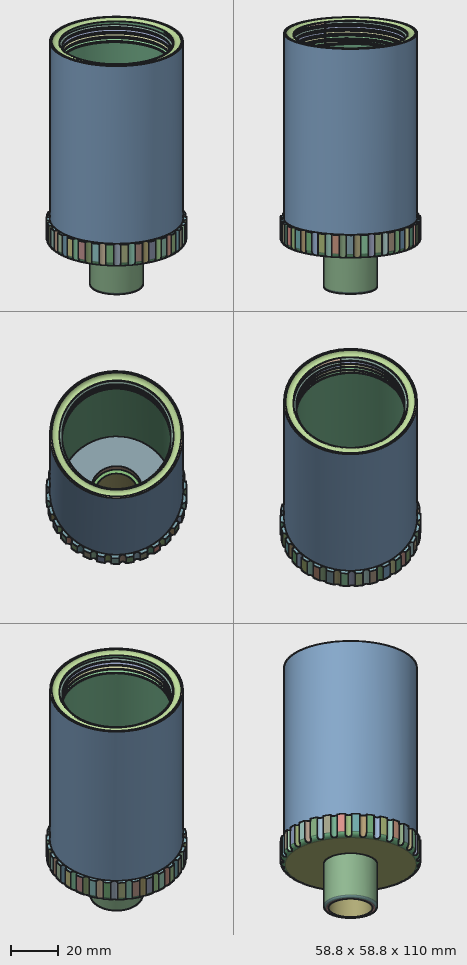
import cadquery as cq
import math

TOTAL_HEIGHT = 110.0
SPIGOT_LENGTH = 20.0
COLLAR_HEIGHT = 10.0

CUP_DIAMETER = 55.8
BORE_DIAMETER = 47.8
FLOOR_THICKNESS = 10.0

SEAT_OUTER_DIAMETER = 54.2
SEAT_INNER_DROP = 0.5
SEAT_SAG = 0.8

COLLAR_DIAMETER = 58.8
COLLAR_FILLET = 2.0
GROOVE_COUNT = 30
GROOVE_RADIUS = 1.4
GROOVE_PHASE = 3.0

SPIGOT_DIAMETER = 22.5
SPIGOT_BORE_DIAMETER = 18.5
SPIGOT_FILLET = 1.0
COUNTERBORE_DIAMETER = 21.9
COUNTERBORE_DEPTH = FLOOR_THICKNESS / 2

THREAD_PITCH = 2.1
THREAD_TURNS = 4
THREAD_TOP_GAP = 0.2
SHARP_V_DEPTH = math.sqrt(3) / 2 * THREAD_PITCH
THREAD_DEPTH = 5 / 8 * SHARP_V_DEPTH
ROOT_WIDTH = 7 / 8 * THREAD_PITCH
CREST_WIDTH = THREAD_PITCH / 4
FADE_TURNS = 0.25
FADE_END_SCALE = 0.05
POINTS_PER_TURN = 32

bore_radius = BORE_DIAMETER / 2
collar_radius = COLLAR_DIAMETER / 2
collar_bottom = SPIGOT_LENGTH
collar_top = collar_bottom + COLLAR_HEIGHT
floor_top = collar_bottom + FLOOR_THICKNESS
seat_inner_z = TOTAL_HEIGHT - SEAT_INNER_DROP
thread_end = seat_inner_z - THREAD_TOP_GAP - ROOT_WIDTH / 2
thread_start = thread_end - THREAD_TURNS * THREAD_PITCH


def cylinder(diameter, bottom, top):
    return cq.Workplane("XY").workplane(offset=bottom).circle(diameter / 2).extrude(top - bottom)


def make_collar():
    """Knurled ring with a rounded lower edge, still solid inside."""
    collar = cylinder(COLLAR_DIAMETER, collar_bottom, collar_top).faces("<Z").edges().fillet(COLLAR_FILLET)
    grooves = (
        cq.Workplane("XY")
        .workplane(offset=collar_bottom)
        .polarArray(collar_radius, GROOVE_PHASE, 360, GROOVE_COUNT)
        .circle(GROOVE_RADIUS)
        .extrude(COLLAR_HEIGHT)
    )
    return collar.cut(grooves)


def make_mouth_cutter():
    """Bore of the cup together with the concave seat in its rim."""
    seat_radius = SEAT_OUTER_DIAMETER / 2
    seat_middle = (
        (bore_radius + seat_radius) / 2,
        TOTAL_HEIGHT - SEAT_INNER_DROP / 2 - SEAT_SAG,
    )
    return (
        cq.Workplane("XZ")
        .moveTo(0, floor_top)
        .lineTo(bore_radius, floor_top)
        .lineTo(bore_radius, seat_inner_z)
        .threePointArc(seat_middle, (seat_radius, TOTAL_HEIGHT))
        .lineTo(0, TOTAL_HEIGHT)
        .close()
        .revolve(360, (0, 0, 0), (0, 1, 0))
    )


def make_housing():
    """Cup, knurled collar and hollow spigot in one piece."""
    cup = cylinder(CUP_DIAMETER, collar_top, TOTAL_HEIGHT)
    spigot = cylinder(SPIGOT_DIAMETER, 0, collar_bottom).faces("<Z").edges().fillet(SPIGOT_FILLET)
    housing = cup.union(make_collar()).union(spigot)
    housing = housing.cut(make_mouth_cutter())
    housing = housing.cut(cylinder(COUNTERBORE_DIAMETER, floor_top - COUNTERBORE_DEPTH, floor_top))
    return housing.cut(cylinder(SPIGOT_BORE_DIAMETER, 0, floor_top))


def ridge_corners(turn, scale):
    """The four corners of the ridge section, counted in turns from the first full turn."""
    angle = 2 * math.pi * turn
    middle = thread_start + turn * THREAD_PITCH
    crest_radius = bore_radius - scale * THREAD_DEPTH
    section = [
        (bore_radius, -ROOT_WIDTH / 2),
        (crest_radius, -CREST_WIDTH / 2),
        (crest_radius, CREST_WIDTH / 2),
        (bore_radius, ROOT_WIDTH / 2),
    ]
    return [
        cq.Vector(radius * math.cos(angle), radius * math.sin(angle), middle + scale * rise)
        for radius, rise in section
    ]


def make_ridge(first_turn, turns, first_scale=1.0, last_scale=1.0):
    """A length of thread ridge whose section grows or shrinks evenly along the helix."""
    steps = math.ceil(turns * POINTS_PER_TURN)
    sections = [
        ridge_corners(first_turn + turns * i / steps, first_scale + (last_scale - first_scale) * i / steps)
        for i in range(steps + 1)
    ]
    edges = [cq.Edge.makeSpline(list(corner_path)) for corner_path in zip(*sections)]
    sides = [cq.Face.makeRuledSurface(edges[i - 1], edges[i]) for i in range(len(edges))]
    ends = [
        cq.Face.makeFromWires(cq.Wire.makePolygon(section, close=True))
        for section in (sections[0], sections[-1])
    ]
    return cq.Solid.makeSolid(cq.Shell.makeShell(sides + ends))


housing = make_housing()
thread_turns = [make_ridge(turn, 1) for turn in range(THREAD_TURNS)]
thread_fades = [
    make_ridge(-FADE_TURNS, FADE_TURNS, first_scale=FADE_END_SCALE),
    make_ridge(THREAD_TURNS, FADE_TURNS, last_scale=FADE_END_SCALE),
]

result = cq.Compound.makeCompound([housing.val(), *thread_turns, *thread_fades])